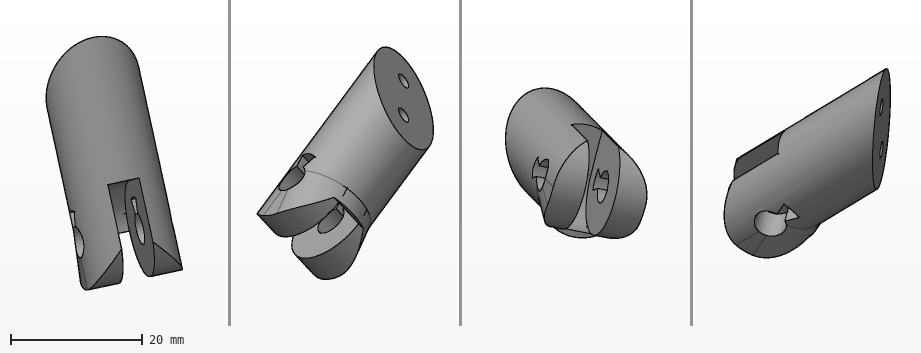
import cadquery as cq
import math

body_radius = 7.5
total_height = 33.95
axis_slope = 45.0
bend_angle = 20.0
bend_setback = 1.5
pivot_diameter = 5.0
slot_width = 5.0
notch_radius = 4.9
notch_angle = 40.0
dowel_diameter = 2.5
lower_dowel_z = 18.95
dowel_spacing = 9.0
dowel_depth = 3.4

slope = math.radians(axis_slope)
face_center_z = total_height - body_radius / math.cos(slope)
pivot_z = body_radius
pivot_x = (face_center_z - pivot_z) / math.tan(slope)
reach = 2 * total_height



def y_prism(profile, width):
    """Extrude an XZ profile to a width centred on Y = 0."""
    return profile.extrude(width / 2, both=True)


def rectangle(x_min, x_max, z_min, z_max, width):
    """Block centred on Y = 0."""
    profile = cq.Workplane("XZ").moveTo(x_min, z_min).lineTo(x_max, z_min)
    return y_prism(profile.lineTo(x_max, z_max).lineTo(x_min, z_max).close(), width)


def pivot_disc(radius, width):
    """Disc about the pivot axis."""
    return y_prism(cq.Workplane("XZ").circle(radius), width)


def sector(radius, start, end, center_x, width):
    """Pie-shaped prism between two angles in the XZ plane, in degrees."""
    def point(angle):
        radians = math.radians(angle)
        return (center_x + radius * math.cos(radians), radius * math.sin(radians))

    profile = cq.Workplane("XZ").moveTo(center_x, 0).lineTo(*point(start))
    profile = profile.threePointArc(point((start + end) / 2), point(end)).close()
    return y_prism(profile, width)


def bent_body():
    """Main cylinder, bent cylinder mitred to it, and the flat fan between their axes."""
    main = cq.Workplane("YZ").circle(body_radius).extrude(reach, both=True)
    bend_point = (-bend_setback, 0, 0)
    bent = cq.Workplane("YZ").circle(body_radius).extrude(reach, both=True)
    bent = bent.rotate((0, 0, 0), (0, 1, 0), bend_angle).translate(bend_point)
    miter_side = rectangle(0, reach, -reach, reach, reach)
    miter_side = miter_side.rotate((0, 0, 0), (0, 1, 0), bend_angle / 2).translate(bend_point)
    fan = sector(reach, -bend_angle, 0, -bend_setback, 2 * body_radius)
    return main.union(bent.intersect(miter_side)).union(fan)


def knuckle_envelope():
    """Everything behind the pivot, closed by the rounded knuckle ahead of it."""
    behind = rectangle(-reach, 0, -reach, reach, reach)
    return behind.union(pivot_disc(body_radius, reach))


def hinge_slot():
    """Central slot, deeper on the upper side so that the mating tongue can swing."""
    ahead = rectangle(0, reach, -reach, reach, slot_width)
    upper = rectangle(-body_radius, reach, 0, reach, slot_width)
    return ahead.union(upper).union(pivot_disc(body_radius, slot_width))


def stop_notch():
    """Annular notch behind the pivot hole, symmetric about the main axis."""
    return sector(notch_radius, 180 - notch_angle / 2, 180 + notch_angle / 2, 0, reach)


hinge = bent_body().intersect(knuckle_envelope())
hinge = hinge.cut(hinge_slot())
hinge = hinge.cut(pivot_disc(pivot_diameter / 2, reach))
hinge = hinge.cut(stop_notch())
hinge = hinge.rotate((0, 0, 0), (0, 1, 0), axis_slope).translate((pivot_x, 0, pivot_z))

result = hinge.intersect(rectangle(0, reach, -reach, reach, reach))

dowel_places = [(0, lower_dowel_z), (0, lower_dowel_z + dowel_spacing)]
dowels = cq.Workplane("YZ").pushPoints(dowel_places).circle(dowel_diameter / 2).extrude(dowel_depth)
result = result.cut(dowels)